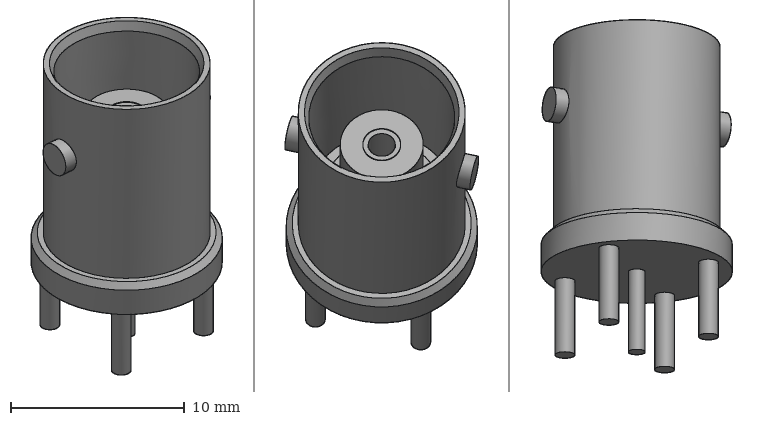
import cadquery as cq


flange_radius = 5.51
flange_height = 2.04
flange_chamfer = 0.36

barrel_radius = 4.81
barrel_top = 13.7

mouth_radius = 4.45
throat_radius = 4.2
floor_radius = 4.05
mouth_depth = 0.55
bore_depth = 8.4

insulator_radius = 2.39
insulator_tip_depth = 3.36
insulator_foot_radius = 3.28
insulator_foot_height = 0.5

contact_radius = 1.09
contact_recess = 0.05
contact_hole_radius = 0.78
contact_hole_depth = 5.0

peg_radius = 1.0
peg_span = 11.02
peg_depth = 4.26
peg_root_gap = 0.2

ground_pin_radius = 0.575
ground_pin_length = 4.52
ground_pin_spacing = 6.27
centre_pin_radius = 0.485
centre_pin_length = 4.9


def cylinder(radius, bottom, top):
    """Upright cylinder on the part axis between two heights."""
    return cq.Workplane("XY").workplane(offset=bottom).circle(radius).extrude(top - bottom)


def make_shell():
    """Flange with a bevelled upper rim, carrying the barrel."""
    flange = cylinder(flange_radius, 0, flange_height).faces(">Z").chamfer(flange_chamfer)
    return flange.union(cylinder(barrel_radius, 0, barrel_top))


def make_pegs():
    """Two round bayonet pegs, one on each Y side of the barrel."""
    peg_height = barrel_top - peg_depth
    peg_plane = cq.Workplane("XZ", origin=(0, 0, peg_height))
    peg_bar = peg_plane.circle(peg_radius).extrude(peg_span / 2, both=True)
    return peg_bar.cut(cylinder(mouth_radius + peg_root_gap, 0, barrel_top))


def make_bore():
    """Socket cavity with a lead-in cone at its mouth."""
    profile = [
        (0, barrel_top),
        (mouth_radius, barrel_top),
        (throat_radius, barrel_top - mouth_depth),
        (floor_radius, barrel_top - bore_depth),
        (0, barrel_top - bore_depth),
    ]
    return cq.Workplane("XZ").polyline(profile).close().revolve(360, (0, 0), (0, 1))


def make_insulator():
    """Insulator with its wider foot and the hollow centre contact."""
    floor = barrel_top - bore_depth
    tip = barrel_top - insulator_tip_depth
    contact_tip = tip - contact_recess
    insulator = cylinder(insulator_radius, floor, tip)
    foot = cylinder(insulator_foot_radius, floor, floor + insulator_foot_height)
    recess = cylinder(contact_radius, contact_tip, tip)
    hole = cylinder(contact_hole_radius, contact_tip - contact_hole_depth, tip)
    return insulator.union(foot).cut(recess).cut(hole)


def make_pins():
    """Four ground pins on a square and the longer centre pin."""
    ground_pins = (
        cq.Workplane("XY")
        .rect(ground_pin_spacing, ground_pin_spacing, forConstruction=True)
        .vertices()
        .circle(ground_pin_radius)
        .extrude(-ground_pin_length)
    )
    return ground_pins.union(cylinder(centre_pin_radius, -centre_pin_length, 0))


result = make_shell().union(make_pegs()).cut(make_bore()).union(make_insulator()).union(make_pins())